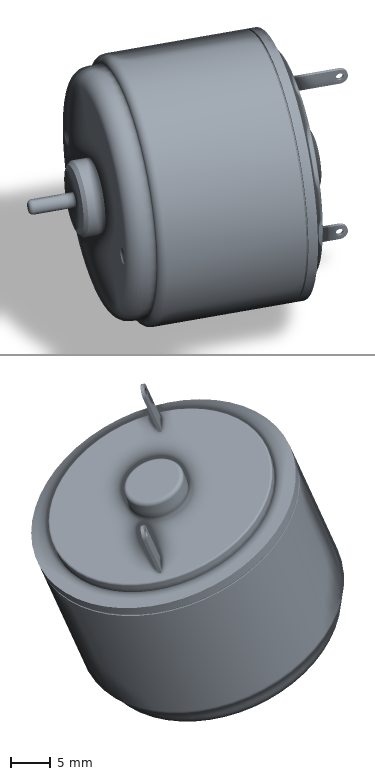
import cadquery as cq


shaft_tip_y = -8.8
front_boss_y = -2.75
cap_face_y = 0.0
can_front_y = 3.5
can_rear_y = 24.55
rear_disc_y = 26.0
rear_boss_y = 29.0
terminal_tip_y = 33.5

shaft_diameter = 2.0
front_boss_diameter = 10.0
cap_diameter = 33.0
can_diameter = 35.4
rear_disc_diameter = 30.0
rear_boss_diameter = 8.0

shaft_tip_fillet = 0.5
front_boss_chamfer = 0.5
cap_fillet = 2.0
can_fillet = 1.0
cap_root_fillet = 0.13
rear_disc_fillet = 0.25
rear_boss_fillet = 0.5
rear_boss_root_fillet = 0.42

groove_diameter = 35.0
groove_width = 0.25
groove_front_y = 23.0

dimple_diameter = 2.2
dimple_depth = 0.68
dimple_offset = 13.0

terminal_width = 2.2
terminal_thickness = 0.42
terminal_hole_diameter = 1.0
terminal_offset = 12.48


def cylinder_along_y(diameter, start_y, end_y):
    """Solid cylinder on the motor axis between two stations."""
    base = cq.Workplane("XZ", origin=(0, start_y, 0))
    return base.circle(diameter / 2).extrude(start_y - end_y)


def make_can():
    """Main can with a rounded front rim and a seam groove."""
    can = cylinder_along_y(can_diameter, can_front_y, can_rear_y)
    can = can.faces("<Y").edges().fillet(can_fillet)
    groove_rear_y = groove_front_y + groove_width
    groove = cylinder_along_y(can_diameter, groove_front_y, groove_rear_y)
    groove_core = cylinder_along_y(groove_diameter, groove_front_y, groove_rear_y)
    return can.cut(groove.cut(groove_core))


def make_front_cap():
    """Rounded cap, pushed into the can."""
    cap = cylinder_along_y(cap_diameter, cap_face_y, can_rear_y)
    return cap.faces("<Y").edges().fillet(cap_fillet)


def make_front_boss():
    boss = cylinder_along_y(front_boss_diameter, front_boss_y, can_front_y)
    return boss.faces("<Y").edges().chamfer(front_boss_chamfer)


def make_shaft():
    shaft = cylinder_along_y(shaft_diameter, shaft_tip_y, can_front_y)
    return shaft.faces("<Y").edges().fillet(shaft_tip_fillet)


def make_rear_end():
    """Rear disc carrying the bearing boss."""
    disc = cylinder_along_y(rear_disc_diameter, can_rear_y, rear_disc_y)
    disc = disc.faces(">Y").edges().fillet(rear_disc_fillet)
    boss = cylinder_along_y(rear_boss_diameter, can_rear_y, rear_boss_y)
    boss = boss.faces(">Y").edges().fillet(rear_boss_fillet)
    return fillet_step(disc.union(boss), rear_disc_y, rear_boss_diameter, rear_boss_root_fillet)


def fillet_step(body, step_y, diameter, radius):
    """Fillet the inner circle where a cylinder meets a larger flat face."""
    reach = diameter / 2 + radius / 4
    selector = cq.selectors.BoxSelector(
        (-reach, step_y - radius / 4, -reach),
        (reach, step_y + radius / 4, reach),
        boundingbox=True,
    )
    return body.edges(selector).fillet(radius)


def make_terminal(center_z):
    """Flat tab with a round end and a concentric wire hole."""
    end_radius = terminal_width / 2
    hole_y = terminal_tip_y - end_radius
    profile = (
        cq.Workplane("YZ", origin=(0, 0, center_z))
        .moveTo(can_rear_y, -end_radius)
        .lineTo(hole_y, -end_radius)
        .threePointArc((terminal_tip_y, 0), (hole_y, end_radius))
        .lineTo(can_rear_y, end_radius)
        .close()
    )
    tab = profile.extrude(terminal_thickness / 2, both=True)
    hole = (
        cq.Workplane("YZ", origin=(0, hole_y, center_z))
        .circle(terminal_hole_diameter / 2)
        .extrude(terminal_thickness, both=True)
    )
    return tab.cut(hole)


def make_dimple(center_x):
    """Cone that narrows to a point inside the cap."""
    return cq.Workplane(
        cq.Solid.makeCone(
            dimple_diameter / 2,
            0,
            dimple_depth,
            pnt=cq.Vector(center_x, cap_face_y, 0),
            dir=cq.Vector(0, 1, 0),
        )
    )


housing = make_can().union(make_front_cap())
housing = fillet_step(housing, can_front_y, cap_diameter, cap_root_fillet)
result = housing.union(make_front_boss()).union(make_shaft()).union(make_rear_end())
for side in (-1, 1):
    result = result.union(make_terminal(side * terminal_offset))
    result = result.cut(make_dimple(side * dimple_offset))